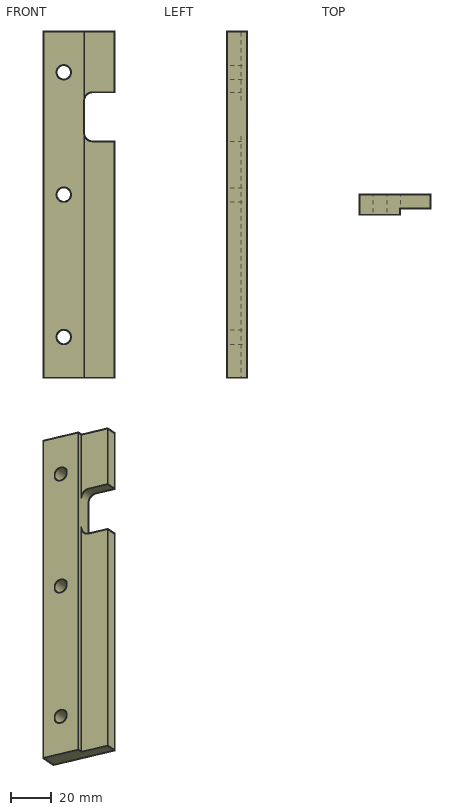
import cadquery as cq

width = 35.0
thickness = 10.0
length = 170.0

strip_width = 20.0
step_depth = 3.0
flange_width = width - strip_width

hole_diameter = 7.0
end_distance = 20.0
middle_hole_from_top = 80.0
hole_heights = [end_distance, length - middle_hole_from_top, length - end_distance]

notch_from_top = 30.0
notch_height = 24.0
notch_radius = 4.0
notch_bottom = length - notch_from_top - notch_height


def block(x_size, y_size, z_size, corner):
    """Box with its lowest corner at the given point."""
    return cq.Workplane("XY").box(x_size, y_size, z_size, centered=False).translate(corner)


bar = block(width, thickness, length, (0, 0, 0))
bar = bar.cut(block(flange_width, step_depth, length, (strip_width, 0, 0)))

notch = block(flange_width, thickness, notch_height, (strip_width, 0, notch_bottom))
notch = notch.edges("|Y and <X").fillet(notch_radius)
bar = bar.cut(notch)

for height in hole_heights:
    hole = (
        cq.Workplane("XZ")
        .center(strip_width / 2, height)
        .circle(hole_diameter / 2)
        .extrude(-thickness)
    )
    bar = bar.cut(hole)

result = bar